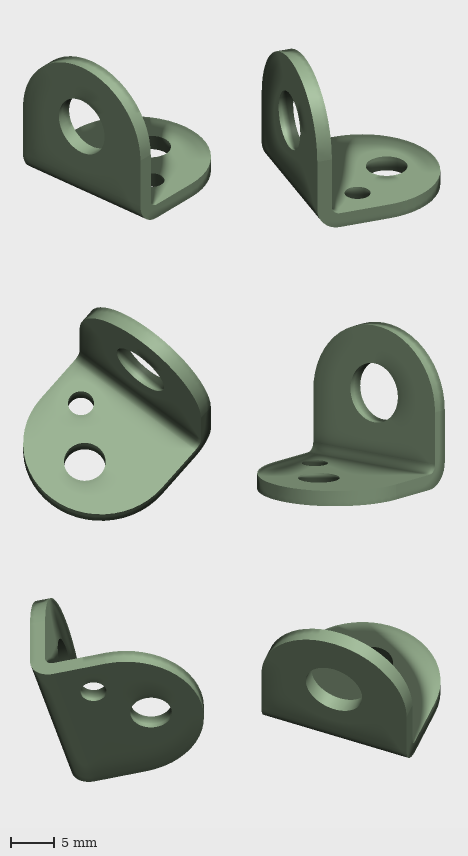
import cadquery as cq

width = 18.0
leg_length = 18.0
thickness = 1.8

inner_bend_radius = 1.0
outer_bend_radius = inner_bend_radius + thickness

wall_hole_diameter = 7.0
wall_hole_height = 10.0
base_hole_diameter = 4.8
base_hole_distance = 12.0
side_hole_diameter = 3.0
side_hole_distance = 6.5
side_hole_offset = 5.0

end_radius = width / 2


def leg_outline(plane):
    """Plate with a full-round free end, starting at the outer corner of the bend."""
    straight_length = leg_length - end_radius
    return (
        cq.Workplane(plane)
        .moveTo(-width / 2, 0)
        .lineTo(-width / 2, straight_length)
        .threePointArc((0, leg_length), (width / 2, straight_length))
        .lineTo(width / 2, 0)
        .close()
    )


base = leg_outline("XY").extrude(thickness)
wall = leg_outline("XZ").extrude(-thickness)
bracket = base.union(wall)

inner_corner = cq.selectors.NearestToPointSelector((0, thickness, thickness))
outer_corner = cq.selectors.NearestToPointSelector((0, 0, 0))
bracket = bracket.edges(inner_corner).fillet(inner_bend_radius)
bracket = bracket.edges(outer_corner).fillet(outer_bend_radius)


def hole_cutter(plane, across, along, diameter, depth):
    """Cylinder through one leg, placed across its width and along its length."""
    return cq.Workplane(plane).center(across, along).circle(diameter / 2).extrude(depth)


wall_hole = hole_cutter("XZ", 0, wall_hole_height, wall_hole_diameter, -thickness)
base_hole = hole_cutter("XY", 0, base_hole_distance, base_hole_diameter, thickness)
side_hole = hole_cutter("XY", side_hole_offset, side_hole_distance, side_hole_diameter, thickness)

result = bracket.cut(wall_hole).cut(base_hole).cut(side_hole)